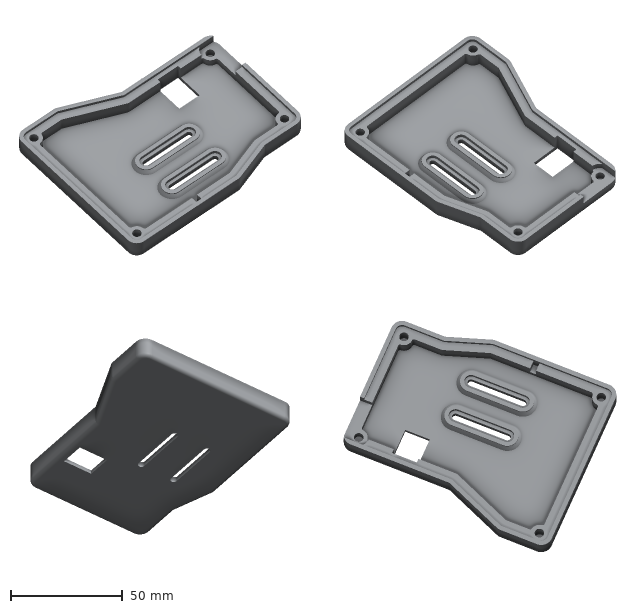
import math

import cadquery as cq

WIDTH = 83.8
LENGTH = 105.8
HEIGHT = 10.0

LEFT_STEP = 12.2
LEFT_BEND_LOW = 23.8
LEFT_BEND_HIGH = 52.7
RIGHT_STEP = 7.1
RIGHT_BEND_LOW = 61.3
RIGHT_BEND_HIGH = 82.0
CORNER_RADIUS = 5.1
BEND_RADIUS = 3.8
BOTTOM_FILLET = 2.0

FLOOR = 2.0
RIM_WIDTH = 2.0
LEDGE_DEPTH = 1.5
WALL_WIDTH = 5.9
LEDGE_Z = HEIGHT - LEDGE_DEPTH

HOLE_DIAMETER = 4.2
BOSS_RADIUS = 4.0
BOSS_FILLET = 1.0
HOLE_CENTERS = [
    (5.9, 6.3),
    (WIDTH - 6.5, 6.3),
    (WIDTH - 13.8, LENGTH - 6.7),
    (LEFT_STEP + 6.1, LENGTH - 6.5),
]

OPENING_RIGHT = 35.1
OPENING_DEPTH = 4.2
OPENING_BOSS_RADIUS = 5.0

WINDOW_X = 16.2
WINDOW_Y = 70.3
WINDOW_WIDTH = 15.0
WINDOW_LENGTH = 12.0

NOTCH_WIDTH = 3.0
NOTCH_Y = 39.7
NOTCH_DEPTH = 4.2

SLOT_CENTERS = [(45.6, 51.2), (63.6, 51.2)]
SLOT_SPAN = 25.2
PAD_BASE_RADIUS = 6.6
PAD_TOP_RADIUS = 5.0
PAD_SLOPE_HEIGHT = 1.5
PAD_HEIGHT = 2.0
PAD_TOP = FLOOR + PAD_HEIGHT
POCKET_RADIUS = 3.1
POCKET_DEPTH = 1.6
SLOT_RADIUS = 1.6


def footprint(inset, bottom, top):
    """Prism of the rounded footprint moved inward by inset.

    Bends that point into the part stay sharp up to the rim and turn into arcs beyond it.
    """
    right = WIDTH - RIGHT_STEP
    points = [
        (0, 0),
        (WIDTH, 0),
        (WIDTH, RIGHT_BEND_LOW),
        (right, RIGHT_BEND_HIGH),
        (right, LENGTH),
        (LEFT_STEP, LENGTH),
        (LEFT_STEP, LEFT_BEND_HIGH),
        (0, LEFT_BEND_LOW),
    ]
    outline = cq.Workplane("XY", origin=(0, 0, bottom)).polyline(points).close()
    sharp_inset = min(inset, RIM_WIDTH)
    if sharp_inset > 0:
        outline = outline.offset2D(-sharp_inset, "intersection")
    if inset > sharp_inset:
        outline = outline.offset2D(sharp_inset - inset)
    prism = outline.extrude(top - bottom)
    if inset < CORNER_RADIUS:
        prism = prism.faces("<Y or >Y").edges("|Z").fillet(CORNER_RADIUS - inset)
    if inset < BEND_RADIUS:
        for bend in [(inset, LEFT_BEND_LOW), (WIDTH - inset, RIGHT_BEND_LOW)]:
            nearest = cq.selectors.NearestToPointSelector((*bend, (bottom + top) / 2))
            prism = prism.edges("|Z").edges(nearest).fillet(BEND_RADIUS - inset)
    return prism


def cylinders(centers, radius, bottom, top):
    """Vertical cylinders of one radius between two heights."""
    plane = cq.Workplane("XY", origin=(0, 0, bottom))
    return plane.pushPoints(centers).circle(radius).extrude(top - bottom)


def block(x_range, y_range, z_range):
    """Axis-aligned box given by its limits."""
    sizes = [high - low for low, high in (x_range, y_range, z_range)]
    return cq.Workplane("XY", origin=(x_range[0], y_range[0], z_range[0])).box(*sizes, centered=False)


def slots(radius, bottom, top, taper=0):
    """Vertical prisms with rounded ends at each slot position."""
    plane = cq.Workplane("XY", origin=(0, 0, bottom)).pushPoints(SLOT_CENTERS)
    return plane.slot2D(SLOT_SPAN + 2 * radius, 2 * radius, 90).extrude(top - bottom, taper=taper)


def make_shell():
    """Solid body with rounded lower edge and the recess that leaves the rim standing."""
    body = footprint(0, 0, HEIGHT).faces("<Z").edges().fillet(BOTTOM_FILLET)
    return body.cut(footprint(RIM_WIDTH, LEDGE_Z, HEIGHT))


def make_cavity():
    """Main hollow, with its four corners taken up by the rounded bosses."""

    def touches_boss(edge):
        place = edge.Center()
        distances = [math.hypot(place.x - x, place.y - y) for x, y in HOLE_CENTERS]
        return min(distances) < BOSS_RADIUS + BOSS_FILLET

    cavity = footprint(WALL_WIDTH, FLOOR, HEIGHT)
    cavity = cavity.cut(cylinders(HOLE_CENTERS, BOSS_RADIUS, FLOOR, HEIGHT))
    return cavity.edges("|Z").filter(touches_boss).fillet(BOSS_FILLET)


def make_opening():
    """Gap in the back wall that also lowers the boss beside it."""
    bottom = HEIGHT - OPENING_DEPTH
    left = LEFT_STEP + RIM_WIDTH
    boss_center = HOLE_CENTERS[-1]
    gap = block((left, OPENING_RIGHT), (boss_center[1], LENGTH), (bottom, HEIGHT))
    around_boss = cylinders([boss_center], OPENING_BOSS_RADIUS, bottom, HEIGHT)
    inside_rim = block((left, OPENING_RIGHT), (0, LENGTH), (bottom, HEIGHT))
    return gap.union(around_boss.intersect(inside_rim))


def make_pads():
    """Pads around the slots: sloping sides on the floor, then a short straight band."""
    slope = math.degrees(math.atan2(PAD_BASE_RADIUS - PAD_TOP_RADIUS, PAD_SLOPE_HEIGHT))
    sloped = slots(PAD_BASE_RADIUS, FLOOR, FLOOR + PAD_SLOPE_HEIGHT, slope)
    return sloped.union(slots(PAD_TOP_RADIUS, FLOOR, PAD_TOP))


window = block((WINDOW_X, WINDOW_X + WINDOW_WIDTH), (WINDOW_Y, WINDOW_Y + WINDOW_LENGTH), (0, HEIGHT))
notch = block(
    (WIDTH - WALL_WIDTH, WIDTH - RIM_WIDTH),
    (NOTCH_Y - NOTCH_WIDTH / 2, NOTCH_Y + NOTCH_WIDTH / 2),
    (LEDGE_Z - NOTCH_DEPTH, HEIGHT),
)

result = (
    make_shell()
    .cut(make_cavity())
    .cut(make_opening())
    .cut(cylinders(HOLE_CENTERS, HOLE_DIAMETER / 2, FLOOR, HEIGHT))
    .cut(window)
    .cut(notch)
    .union(make_pads())
    .cut(slots(POCKET_RADIUS, PAD_TOP - POCKET_DEPTH, PAD_TOP))
    .cut(slots(SLOT_RADIUS, 0, PAD_TOP))
)